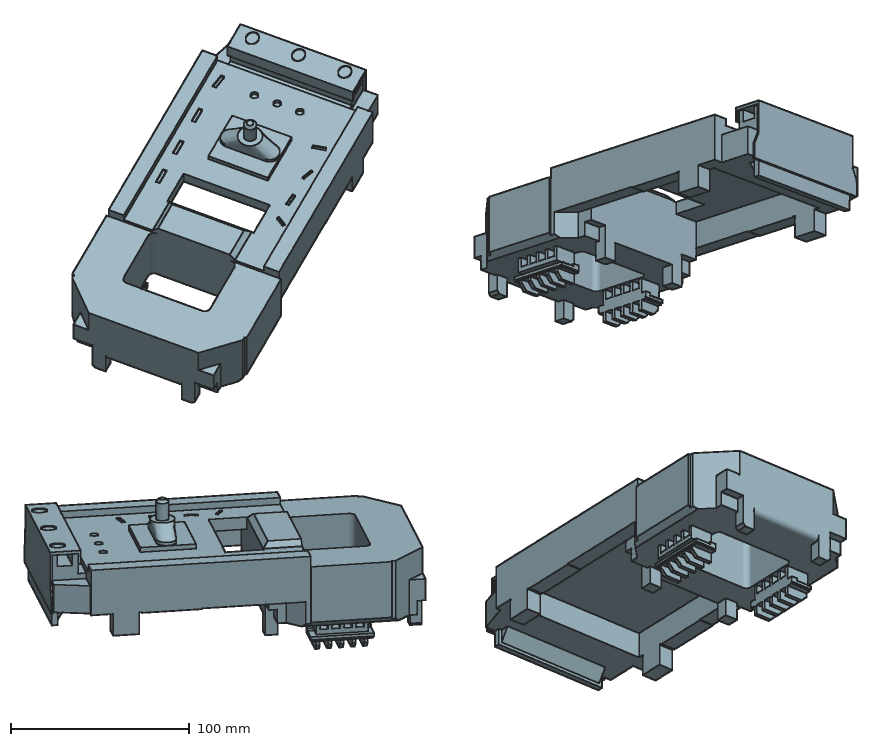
import cadquery as cq
import math


HOUSING_HALF_X = 52.5
HOUSING_REAR_Y = 85.5
HOUSING_FRONT_Y = -39.4
RAIL_TOP_Z = 27.0
RAIL_INNER_X = 43.2
FLOOR_Z = 23.0

BLOCK_FRONT_Y = -106.5
BLOCK_REAR_Y = -17.2
BLOCK_TOP_Z = 21.3
BLOCK_BOTTOM_Z = -15.3
BLOCK_EDGE_CHAMFER = 2.1
FRONT_CORNER_X = 33.8
REAR_CORNER_Y = -27.2
FRONT_EDGE_RADIUS = 3.2
BAND_HALF_X = 53.9
BAND_FRONT_Y = -85.4

OPENING_HALF_X = 26.5
OPENING_REAR_Y = 4.5
WINDOW_FRONT_Y = -78.3
WINDOW_RADIUS = 3.5
HUMP_HALF_X = 25.3
HUMP_HEIGHT = 3.5
HUMP_CHAMFER = 3.2

EAR_BACK_Y = -97.0
EAR_TOP_Z = 5.7
EAR_NOTCH_Z = -7.0
EAR_NOTCH_DEPTH = 5.0
FOOT_INNER_X = 23.5
FOOT_OUTER_X = 31.5
FOOT_BOTTOM_Z = -26.4
FRONT_FOOT_LENGTH = 6.5
REAR_FOOT_LENGTH = 7.2
FOOT_CHAMFER = 1.7

SUPPORT_REAR_Y = 73.0
SUPPORT_LENGTH = 15.0
SUPPORT_DEPTH = 13.0
CAVITY_TOP_Z = 15.8
PAD_FRONT_Y = 22.5
PAD_REAR_Y = 56.6
PAD_THICKNESS = 0.5

CONNECTOR_OUTER_X = 41.5
CONNECTOR_INNER_X = 27.7
CONNECTOR_REAR_Y = -41.3
CONNECTOR_FRONT_Y = -77.5
CONNECTOR_BOTTOM_Z = -34.0
CONNECTOR_CHAMFER = 3.6
PLATE_TOP_Z = -25.3
PLATE_STEP_Z = -27.2
PLATE_BOTTOM_Z = -28.3
PLATE_STEP_INSET = 0.5
COMB_OUTER_X = 42.1
COMB_BOTTOM_Z = -23.8
WEB_TOP_Z = -20.9
FIN_COUNT = 5
FIN_PITCH = 6.8
FIN_WIDTH = 2.1
FIN_MIDDLE_Y = -59.2

BRACKET_TOP_Z = 16.5
BRACKET_REAR_Y = 105.4
BRACKET_RIGHT_X = 46.6
BRACKET_LEFT_FRONT_X = -49.5
BRACKET_LEFT_REAR_X = -43.8
TERMINAL_HALF_X = 37.5
TERMINAL_REAR_Y = 105.1
TERMINAL_FRONT_Y = 90.2
SHELF_TOP_Z = 19.8
COVER_HALF_X = 38.7
COVER_FRONT_Y = 89.0
COVER_REAR_Y = 106.5
COVER_TOP_Z = 34.0
COVER_THICKNESS = 2.0
COVER_LIP_Z = 25.8
APRON_HALF_X = 42.1
APRON_BOTTOM_Z = -1.3
APRON_TAPER_TOP_Z = 15.0
APRON_TAPER_BOTTOM_Z = 7.7
TUNNEL_FRONT_Y = 93.5
TUNNEL_REAR_Y = 102.0
TUNNEL_BOTTOM_Z = 25.0
DIMPLE_PITCH = 28.5
DIMPLE_Y = 100.3
DIMPLE_SIZE_X = 7.2
DIMPLE_SIZE_Y = 8.7
DIMPLE_DEPTH = 0.6
HOOK_FRONT_Y = 101.7
HOOK_BOTTOM_Z = -10.2
GUSSET_LENGTH = 5.3
GUSSET_HEIGHT = 8.0
GUSSET_INSET = 2.1

HOLE_DIAMETER = 4.5
HOLE_DEPTH = 2.1
HOLE_PITCH = 14.0
HOLE_Y = 71.7
SLOT_DEPTH = 1.0
FLOOR_SLOTS = [
    (-36.5, 72.2, 9.2, 2.1, 82),
    (-37.2, 45.3, 9.8, 2.1, 90),
    (-37.2, 20.2, 9.8, 2.1, 90),
    (-37.2, -2.3, 9.8, 2.1, 90),
    (34.5, 53.0, 7.7, 2.1, 12),
    (36.6, 33.0, 7.2, 1.3, 70),
    (35.5, 12.8, 7.7, 1.7, 86),
    (37.0, -3.5, 6.4, 1.5, -33),
]

KNOB_Y = 35.5
KNOB_PLATE_X = 36.6
KNOB_PLATE_Y = 31.7
KNOB_PLATE_HEIGHT = 2.8
KNOB_LENGTH = 35.8
KNOB_WIDTH = 11.5
KNOB_RIM_TOP_Z = 27.7
KNOB_TOP_Z = 35.3
KNOB_TOP_DIAMETER = 14.0
PIN_DIAMETER = 7.2
PIN_TOP_Z = 47.3
PIN_CHAMFER = 1.7


def box(x0, x1, y0, y1, z0, z1):
    """Box between two opposite corners."""
    return cq.Workplane("XY").box(x1 - x0, y1 - y0, z1 - z0, centered=False).translate((x0, y0, z0))


def mirrored_pair(shape):
    """The shape together with its mirror image across X = 0."""
    return shape.union(shape.mirror("YZ"))


def slab():
    """Housing slab with a rail along each side and a sunken floor between them."""
    body = box(-HOUSING_HALF_X, HOUSING_HALF_X, HOUSING_FRONT_Y, HOUSING_REAR_Y, 0, RAIL_TOP_Z)
    return body.cut(box(-RAIL_INNER_X, RAIL_INNER_X, HOUSING_FRONT_Y, HOUSING_REAR_Y, FLOOR_Z, RAIL_TOP_Z))


def front_block():
    """Block with cut-off corners, wider side bands, and a lower part reaching under the housing."""
    corner_y = BLOCK_FRONT_Y + (HOUSING_HALF_X - FRONT_CORNER_X)
    shoulder_y = REAR_CORNER_Y - (HOUSING_HALF_X - RAIL_INNER_X)
    half_outline = [
        (0, BLOCK_FRONT_Y),
        (FRONT_CORNER_X, BLOCK_FRONT_Y),
        (HOUSING_HALF_X, corner_y),
        (HOUSING_HALF_X, shoulder_y),
        (RAIL_INNER_X, REAR_CORNER_Y),
        (RAIL_INNER_X, BLOCK_REAR_Y),
        (0, BLOCK_REAR_Y),
    ]
    block = (
        cq.Workplane("XY", origin=(0, 0, BLOCK_BOTTOM_Z))
        .polyline(half_outline).mirrorY()
        .extrude(BLOCK_TOP_Z - BLOCK_BOTTOM_Z)
    )
    block = block.cut(box(-BAND_HALF_X, BAND_HALF_X, HOUSING_FRONT_Y, BLOCK_REAR_Y, 0, BLOCK_TOP_Z))
    block = block.union(box(-BAND_HALF_X, BAND_HALF_X, BAND_FRONT_Y, HOUSING_FRONT_Y,
                            BLOCK_BOTTOM_Z, BLOCK_TOP_Z))
    block = block.edges("<Y and <Z").fillet(FRONT_EDGE_RADIUS)
    return block.cut(mirrored_pair(side_bevel()))


def side_bevel():
    """Wedge that bevels the lower side edge at 45 degrees across block and band."""
    inner_x = HOUSING_HALF_X - BLOCK_EDGE_CHAMFER
    rise = BAND_HALF_X - inner_x
    return (
        cq.Workplane("XZ", origin=(0, BLOCK_REAR_Y, 0))
        .moveTo(inner_x, BLOCK_BOTTOM_Z)
        .lineTo(BAND_HALF_X, BLOCK_BOTTOM_Z)
        .lineTo(BAND_HALF_X, BLOCK_BOTTOM_Z + rise)
        .close()
        .extrude(BLOCK_REAR_Y - BLOCK_FRONT_Y)
    )


def front_ear():
    """Ear that squares off one front corner of the block low down."""
    return box(FOOT_INNER_X, RAIL_INNER_X, BLOCK_FRONT_Y, EAR_BACK_Y, BLOCK_BOTTOM_Z, EAR_TOP_Z)


def ear_notches():
    """Notches beside the feet, in both ends of the block."""
    front = box(FOOT_OUTER_X, RAIL_INNER_X, BLOCK_FRONT_Y, BLOCK_FRONT_Y + EAR_NOTCH_DEPTH,
                BLOCK_BOTTOM_Z, EAR_NOTCH_Z)
    rear = box(FOOT_OUTER_X, RAIL_INNER_X, BLOCK_REAR_Y - EAR_NOTCH_DEPTH, BLOCK_REAR_Y,
               BLOCK_BOTTOM_Z, EAR_NOTCH_Z)
    return mirrored_pair(front.union(rear))


def block_feet():
    """Four feet: a bevelled pair at the front end and a plain pair at the rear end."""
    front = box(FOOT_INNER_X, FOOT_OUTER_X, BLOCK_FRONT_Y, BLOCK_FRONT_Y + FRONT_FOOT_LENGTH,
                FOOT_BOTTOM_Z, EAR_NOTCH_Z)
    front = front.edges(">X and <Z").chamfer(FOOT_CHAMFER)
    rear = box(FOOT_INNER_X, FOOT_OUTER_X, BLOCK_REAR_Y - REAR_FOOT_LENGTH, BLOCK_REAR_Y,
               FOOT_BOTTOM_Z, EAR_NOTCH_Z)
    return mirrored_pair(front.union(rear))


def hump():
    """Raised bar behind the window, bevelled on three sides and flush with the window wall."""
    bar = box(-HUMP_HALF_X, HUMP_HALF_X, HOUSING_FRONT_Y, BLOCK_REAR_Y, FLOOR_Z, FLOOR_Z + HUMP_HEIGHT)
    return bar.faces(">Z").edges(">Y or <X or >X").chamfer(HUMP_CHAMFER)


def openings():
    """Square opening through the housing and rounded window through the front block."""
    opening = box(-OPENING_HALF_X, OPENING_HALF_X, BLOCK_REAR_Y, OPENING_REAR_Y, 0, RAIL_TOP_Z)
    window = box(-OPENING_HALF_X, OPENING_HALF_X, WINDOW_FRONT_Y, HOUSING_FRONT_Y,
                 BLOCK_BOTTOM_Z, BLOCK_TOP_Z)
    return opening.union(window.edges("|Z").fillet(WINDOW_RADIUS))


def underside_cavity():
    """Hollow under the floor, with walls as thick as the rails at the sides and rear."""
    wall = HOUSING_HALF_X - RAIL_INNER_X
    return box(-RAIL_INNER_X, RAIL_INNER_X, BLOCK_REAR_Y, HOUSING_REAR_Y - wall, 0, CAVITY_TOP_Z)


def housing_supports():
    """A foot and a thin pad under each side wall of the housing slab."""
    foot = box(RAIL_INNER_X, HOUSING_HALF_X, SUPPORT_REAR_Y - SUPPORT_LENGTH, SUPPORT_REAR_Y,
               -SUPPORT_DEPTH, 0)
    pad = box(RAIL_INNER_X, HOUSING_HALF_X, PAD_FRONT_Y, PAD_REAR_Y, -PAD_THICKNESS, 0)
    return mirrored_pair(foot.union(pad))


def connector():
    """Connector under the block: upper comb, neck, stepped plate and lower fins."""
    half_run = (FIN_PITCH * (FIN_COUNT - 1) + FIN_WIDTH) / 2
    body = box(CONNECTOR_INNER_X, COMB_OUTER_X, FIN_MIDDLE_Y - half_run, FIN_MIDDLE_Y + half_run,
               COMB_BOTTOM_Z, WEB_TOP_Z)
    body = body.union(box(CONNECTOR_INNER_X, FOOT_OUTER_X, CONNECTOR_FRONT_Y, CONNECTOR_REAR_Y,
                          PLATE_TOP_Z, COMB_BOTTOM_Z))
    body = body.union(box(CONNECTOR_INNER_X, CONNECTOR_OUTER_X, CONNECTOR_FRONT_Y, CONNECTOR_REAR_Y,
                          PLATE_STEP_Z, PLATE_TOP_Z))
    body = body.union(box(CONNECTOR_INNER_X, CONNECTOR_OUTER_X - PLATE_STEP_INSET,
                          CONNECTOR_FRONT_Y + PLATE_STEP_INSET, CONNECTOR_REAR_Y - PLATE_STEP_INSET,
                          PLATE_BOTTOM_Z, PLATE_STEP_Z))
    for index in range(FIN_COUNT):
        y0 = FIN_MIDDLE_Y + FIN_PITCH * (index - (FIN_COUNT - 1) / 2) - FIN_WIDTH / 2
        y1 = y0 + FIN_WIDTH
        leg = box(CONNECTOR_INNER_X, COMB_OUTER_X, y0, y1, WEB_TOP_Z, BLOCK_BOTTOM_Z)
        fin = box(CONNECTOR_INNER_X, CONNECTOR_OUTER_X, y0, y1, CONNECTOR_BOTTOM_Z, PLATE_BOTTOM_Z)
        body = body.union(leg).union(fin.edges(">X and <Z").chamfer(CONNECTOR_CHAMFER))
    return body


def terminal_block():
    """Rear bracket and terminal block, with a hook and its gusset below."""
    bracket = (
        cq.Workplane("XY")
        .polyline([
            (BRACKET_LEFT_FRONT_X, HOUSING_REAR_Y),
            (BRACKET_RIGHT_X, HOUSING_REAR_Y),
            (BRACKET_RIGHT_X, BRACKET_REAR_Y),
            (BRACKET_LEFT_REAR_X, BRACKET_REAR_Y),
        ])
        .close().extrude(BRACKET_TOP_Z)
    )
    cover_underside = COVER_TOP_Z - COVER_THICKNESS
    shelf = box(-TERMINAL_HALF_X, TERMINAL_HALF_X, HOUSING_REAR_Y, TERMINAL_REAR_Y,
                BRACKET_TOP_Z, SHELF_TOP_Z)
    riser = box(-TERMINAL_HALF_X, TERMINAL_HALF_X, TERMINAL_FRONT_Y, TERMINAL_REAR_Y,
                SHELF_TOP_Z, cover_underside)
    hook = box(-TERMINAL_HALF_X, TERMINAL_HALF_X, HOOK_FRONT_Y, TERMINAL_REAR_Y, HOOK_BOTTOM_Z, 0)
    gusset_half_x = TERMINAL_HALF_X - GUSSET_INSET
    gusset = (
        cq.Workplane("YZ", origin=(-gusset_half_x, 0, 0))
        .polyline([(HOOK_FRONT_Y, 0), (HOOK_FRONT_Y, -GUSSET_HEIGHT), (HOOK_FRONT_Y - GUSSET_LENGTH, 0)])
        .close().extrude(2 * gusset_half_x)
    )
    return bracket.union(shelf).union(riser).union(hook).union(gusset)


def terminal_cover():
    """Thin cover over the terminal block: lip in front, dimples on top, widening apron behind."""
    cover_underside = COVER_TOP_Z - COVER_THICKNESS
    top = box(-COVER_HALF_X, COVER_HALF_X, COVER_FRONT_Y, COVER_REAR_Y, cover_underside, COVER_TOP_Z)
    lip = box(-COVER_HALF_X, COVER_HALF_X, COVER_FRONT_Y, TERMINAL_FRONT_Y, COVER_LIP_Z, cover_underside)
    apron = (
        cq.Workplane("XZ", origin=(0, COVER_REAR_Y, 0))
        .polyline([
            (0, COVER_TOP_Z),
            (COVER_HALF_X, COVER_TOP_Z),
            (COVER_HALF_X, APRON_TAPER_TOP_Z),
            (APRON_HALF_X, APRON_TAPER_BOTTOM_Z),
            (APRON_HALF_X, APRON_BOTTOM_Z),
            (0, APRON_BOTTOM_Z),
        ])
        .mirrorY().extrude(COVER_REAR_Y - TERMINAL_REAR_Y)
    )
    dimples = (
        cq.Workplane("XY", origin=(0, DIMPLE_Y, COVER_TOP_Z - DIMPLE_DEPTH))
        .rarray(DIMPLE_PITCH, 2.1, 3, 1)
        .ellipse(DIMPLE_SIZE_X / 2, DIMPLE_SIZE_Y / 2)
        .extrude(DIMPLE_DEPTH)
    )
    return top.union(lip).union(apron).cut(dimples)


def terminal_tunnel():
    """Square passage along X, directly under the terminal cover."""
    return box(-TERMINAL_HALF_X, TERMINAL_HALF_X, TUNNEL_FRONT_Y, TUNNEL_REAR_Y,
               TUNNEL_BOTTOM_Z, COVER_TOP_Z - COVER_THICKNESS)


def floor_recesses():
    """Three blind holes and the marking slots sunk in the housing floor."""
    recesses = (
        cq.Workplane("XY", origin=(0, HOLE_Y, FLOOR_Z - HOLE_DEPTH))
        .rarray(HOLE_PITCH, 2.1, 3, 1)
        .circle(HOLE_DIAMETER / 2)
        .extrude(HOLE_DEPTH)
    )
    for x, y, length, width, angle in FLOOR_SLOTS:
        slot = cq.Workplane("XY").rect(length, width).extrude(SLOT_DEPTH)
        slot = slot.rotate((0, 0, 0), (0, 0, 1), angle)
        recesses = recesses.union(slot.translate((x, y, FLOOR_Z - SLOT_DEPTH)))
    return recesses


def knob_plate():
    """Low rectangular plate on which the knob stands."""
    return (
        cq.Workplane("XY", origin=(0, KNOB_Y, FLOOR_Z))
        .rect(KNOB_PLATE_X, KNOB_PLATE_Y)
        .extrude(KNOB_PLATE_HEIGHT)
    )


def make_housing():
    """Housing with its front block, connectors, terminal block and cover as one solid."""
    body = slab().union(front_block())
    body = body.union(mirrored_pair(front_ear())).cut(ear_notches()).union(block_feet())
    body = body.cut(openings()).cut(underside_cavity()).union(hump())
    body = body.union(housing_supports()).union(mirrored_pair(connector()))
    body = body.union(terminal_block()).cut(terminal_tunnel()).union(terminal_cover())
    return body.cut(floor_recesses()).union(knob_plate())


def knob_skirt():
    """Skirt blending from the oblong rim up to the round collar; both outlines have four matching parts."""
    end_x = KNOB_LENGTH / 2
    half_width = KNOB_WIDTH / 2
    straight_x = end_x - half_width
    radius = KNOB_TOP_DIAMETER / 2
    corner = radius * math.sqrt(0.5)
    return (
        cq.Workplane("XY", origin=(0, KNOB_Y, KNOB_RIM_TOP_Z))
        .moveTo(-straight_x, -half_width)
        .lineTo(straight_x, -half_width)
        .threePointArc((end_x, 0), (straight_x, half_width))
        .lineTo(-straight_x, half_width)
        .threePointArc((-end_x, 0), (-straight_x, -half_width))
        .close()
        .workplane(offset=KNOB_TOP_Z - KNOB_RIM_TOP_Z)
        .moveTo(-corner, -corner)
        .threePointArc((0, -radius), (corner, -corner))
        .threePointArc((radius, 0), (corner, corner))
        .threePointArc((0, radius), (-corner, corner))
        .threePointArc((-radius, 0), (-corner, -corner))
        .close()
        .loft(ruled=True)
    )


def make_knob():
    """Oblong rim blending up into a round collar, with a bevelled pin on top."""
    base_z = FLOOR_Z + KNOB_PLATE_HEIGHT
    rim = (
        cq.Workplane("XY", origin=(0, KNOB_Y, base_z))
        .slot2D(KNOB_LENGTH, KNOB_WIDTH)
        .extrude(KNOB_RIM_TOP_Z - base_z)
    )
    pin = (
        cq.Workplane("XY", origin=(0, KNOB_Y, KNOB_TOP_Z))
        .circle(PIN_DIAMETER / 2)
        .extrude(PIN_TOP_Z - KNOB_TOP_Z)
        .faces(">Z").chamfer(PIN_CHAMFER)
    )
    return rim.union(knob_skirt()).union(pin)


housing = make_housing()
knob = make_knob()
result = cq.Compound.makeCompound([housing.solids().val(), knob.solids().val()])